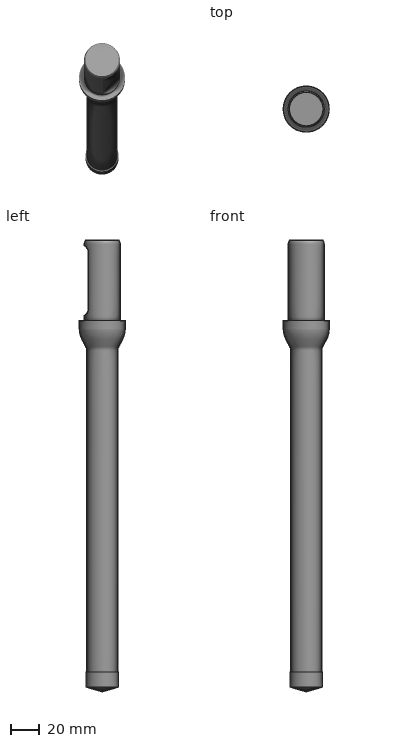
import cadquery as cq

total_length = 313.0

tip_radius = 23.0 / 2
tip_point_height = 3.5
tip_top = 13.8

shank_radius = 21.5 / 2
neck_radius = 11.5
neck_bottom = total_length - 76.5
neck_top = total_length - 73.5

collar_radius = 32.0 / 2
collar_top = total_length - 55.7
collar_straight_bottom = total_length - 61.7
collar_taper_radius = 14.0
collar_taper_height = total_length - 69.0
collar_end_slope = (0.4, 1.0)

drive_radius = 25.0 / 2
drive_face_radius = 11.5
drive_taper_width = 0.15
drive_chamfer_radius = drive_radius - drive_taper_width
drive_chamfer_height = 1.5
drive_taper_height = 2.5

flat_depth = 2.8
flat_top = total_length - 3.0
flat_bottom = collar_top + 2.8
flat_end_radius = 5.3


def make_tip():
    """Cylindrical drill tip with a shallow conical point."""
    return (
        cq.Workplane("XZ")
        .moveTo(0, 0)
        .lineTo(tip_radius, tip_point_height)
        .lineTo(tip_radius, tip_top)
        .lineTo(0, tip_top)
        .close()
        .revolve(360, (0, 0), (0, 1))
    )


def make_turned_shank():
    """Turned shank, neck, collar with a curved taper, and double-chamfered drive end."""
    return (
        cq.Workplane("XZ")
        .moveTo(0, tip_top)
        .lineTo(shank_radius, tip_top)
        .lineTo(shank_radius, neck_bottom)
        .tangentArcPoint((neck_radius, neck_top), relative=False)
        .spline(
            [(collar_taper_radius, collar_taper_height), (collar_radius, collar_straight_bottom)],
            tangents=[collar_end_slope, (0, 1)],
            includeCurrent=True,
        )
        .lineTo(collar_radius, collar_top)
        .lineTo(drive_radius, collar_top)
        .lineTo(drive_radius, total_length - drive_taper_height)
        .lineTo(drive_chamfer_radius, total_length - drive_chamfer_height)
        .lineTo(drive_face_radius, total_length)
        .lineTo(0, total_length)
        .close()
        .revolve(360, (0, 0), (0, 1))
    )


def make_flat_cutter():
    """Block that removes the retaining flat, its inner end corners rounded."""
    flat_length = flat_top - flat_bottom
    return (
        cq.Workplane("XY")
        .box(2 * drive_radius, 2 * flat_depth, flat_length)
        .edges("|X and <Y")
        .fillet(flat_end_radius)
        .translate((0, drive_radius, (flat_top + flat_bottom) / 2))
    )


tip = make_tip()
shank = make_turned_shank().cut(make_flat_cutter())

result = cq.Compound.makeCompound([shank.val(), tip.val()])